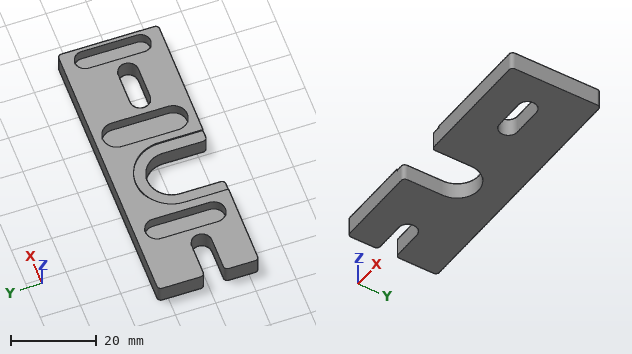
import cadquery as cq

length = 70.0
width = 25.0
thickness = 5.0
corner_radius = 1.0

axis_y = 11.0
slot_width = 5.0
open_slot_end_x = 11.4
closed_slot_x = 55.9
closed_slot_length = 13.1

opening_x = 29.95
opening_radius = 6.0
step_radius = 8.9
step_depth = 0.4

pockets = [
    (16.2, 19.8, 5.75),
    (44.25, 21.0, 7.0),
    (66.6, 18.75, 5.0),
]
pocket_depth = 3.0


def round_slot(x, y, slot_length, slot_breadth, angle, floor_z):
    """Round-ended cutter from floor_z up to the top face."""
    return (
        cq.Workplane("XY", origin=(x, y, floor_z))
        .slot2D(slot_length, slot_breadth, angle)
        .extrude(thickness - floor_z)
    )


def u_cutter(radius, floor_z):
    """U-shaped cutter open to the front edge, from floor_z up to the top face."""
    return (
        cq.Workplane("XY", origin=(opening_x, 0, floor_z))
        .moveTo(-radius, 0)
        .lineTo(-radius, axis_y)
        .threePointArc((0, axis_y + radius), (radius, axis_y))
        .lineTo(radius, 0)
        .close()
        .extrude(thickness - floor_z)
    )


plate = cq.Workplane("XY").box(length, width, thickness, centered=False)

plate = plate.cut(round_slot(0, axis_y, 2 * open_slot_end_x, slot_width, 0, 0))

plate = plate.cut(u_cutter(opening_radius, 0))
left_corners = cq.selectors.BoxSelector((-0.7, -0.7, -0.7), (0.7, width + 0.7, thickness + 0.7))
right_corners = cq.selectors.BoxSelector((length - 0.7, -0.7, -0.7), (length + 0.7, width + 0.7, thickness + 0.7))
front_corners = cq.selectors.BoxSelector((0.7, -0.7, -0.7), (length - 0.7, 0.7, thickness + 0.7))
rounded_corners = left_corners + right_corners + front_corners
plate = plate.edges("|Z").edges(rounded_corners).fillet(corner_radius)

plate = plate.cut(u_cutter(step_radius, thickness - step_depth))
plate = plate.cut(round_slot(closed_slot_x, axis_y, closed_slot_length, slot_width, 0, 0))

pocket_floor = thickness - pocket_depth
for pocket_x, pocket_length, pocket_width in pockets:
    plate = plate.cut(round_slot(pocket_x, width / 2, pocket_length, pocket_width, 90, pocket_floor))

result = plate